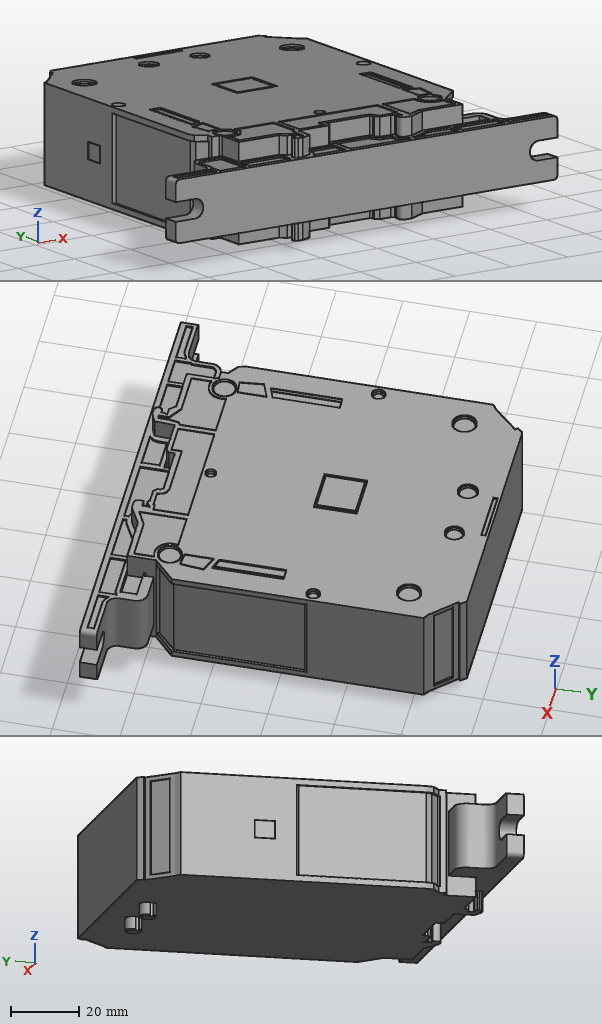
import cadquery as cq


body_height = 30.9
body_half_width = 46.51
body_depth = 109.0
foot_length = 135.4
foot_height = 19.2
foot_middle_x = 0.2
peg_length = 4.0
mark_depth = 0.3
recess_depth = 0.5
overlap = 1.4

foot_bottom = (body_height - foot_height) / 2
foot_top = foot_bottom + foot_height
foot_left = foot_middle_x - foot_length / 2
foot_right = foot_middle_x + foot_length / 2


def prism(points, bottom, top):
    """Straight-sided solid over a closed polygon in XY."""
    return cq.Workplane("XY", origin=(0, 0, bottom)).polyline(points).close().extrude(top - bottom)


def sunk(points, depth, surface):
    """Cutter sinking a polygon below an upward-facing surface."""
    return prism(points, surface - depth, surface + overlap)


def block(x_range, y_range, z_range):
    """Box given by its limits along each axis."""
    (x0, x1), (y0, y1), (z0, z1) = x_range, y_range, z_range
    return prism([(x0, y0), (x1, y0), (x1, y1), (x0, y1)], z0, z1)


def disc(x, y, radius, bottom, top):
    """Upright cylinder."""
    return cq.Workplane("XY", origin=(x, y, bottom)).circle(radius).extrude(top - bottom)


def mirrored(points):
    """The same outline on the other side of the housing."""
    return [(-x, y) for x, y in points]


leg_wall_x = 39.7
leg_base_y = 7.9
arch_y = 9.2
saddle_y = 11.9
left_hook_y = 1.8
right_hook_y = 4.7


def make_housing():
    upper_left = [
        (-body_half_width, 98.2),
        (-44.7, 99.4),
        (-37.6, 106.7),
        (-38.3, 107.2),
        (-36.8, body_depth),
    ]
    upper_right = mirrored(upper_left)[::-1]
    return (
        cq.Workplane("XY")
        .polyline(upper_left + upper_right)
        .lineTo(body_half_width, 22.7)
        .lineTo(leg_wall_x, 16.5)
        .lineTo(leg_wall_x, leg_base_y)
        .lineTo(25.3, leg_base_y)
        .lineTo(19.5, right_hook_y)
        .lineTo(17.5, right_hook_y)
        .threePointArc((16.2, 5.1), (15.8, 6.1))
        .lineTo(15.8, 7.5)
        .lineTo(17.9, 7.5)
        .lineTo(17.9, 9.7)
        .lineTo(16.1, arch_y - 0.7)
        .lineTo(15.2, arch_y)
        .lineTo(11.2, arch_y)
        .lineTo(10.0, 10.3)
        .lineTo(10.0, 11.1)
        .lineTo(9.5, saddle_y)
        .lineTo(-6.0, saddle_y)
        .lineTo(-6.0, 10.0)
        .lineTo(-6.9, arch_y)
        .lineTo(-17.6, arch_y)
        .lineTo(-17.9, 3.1)
        .lineTo(-19.6, 2.3)
        .lineTo(-21.3, left_hook_y)
        .lineTo(-22.9, left_hook_y)
        .lineTo(-23.7, 2.3)
        .lineTo(-24.1, 3.0)
        .lineTo(-23.8, 3.7)
        .lineTo(-23.3, 4.2)
        .lineTo(-22.1, 4.2)
        .lineTo(-21.7, 6.1)
        .lineTo(-23.8, 6.1)
        .lineTo(-25.5, leg_base_y)
        .lineTo(-leg_wall_x, leg_base_y)
        .lineTo(-leg_wall_x, 16.5)
        .lineTo(-40.1, 17.5)
        .lineTo(-42.7, 17.5)
        .lineTo(-42.7, 19.6)
        .lineTo(-45.9, 22.0)
        .lineTo(-body_half_width, 24.1)
        .close()
        .extrude(body_height)
    )


panel_edge = 1.9
panel_end_y = 63.2
panel_depth = 0.8
panel_x = body_half_width - panel_depth
chamfer_panel_edge = 1.4


def cut_edge_panels(housing):
    outside = body_half_width + overlap
    ramp = [(outside, panel_end_y), (body_half_width, panel_end_y), (panel_x, panel_end_y - panel_depth)]
    right_panel = ramp + [(panel_x, 23.2), (39.8, 17.6), (39.8, 16.2), (outside, 16.2)]
    left_panel = mirrored(ramp) + [
        (-panel_x, 24.1), (-45.0, 22.3), (-42.0, 19.8), (-42.0, 19.2), (-outside, 19.2),
    ]
    for panel in (left_panel, right_panel):
        housing = housing.cut(prism(panel, panel_edge, body_height - panel_edge))

    corner_panel = [(-43.5, 100.6), (-43.0, 100.2), (-38.3, 105.0), (-38.7, 105.3), (-42.0, 105.6)]
    for panel in (corner_panel, mirrored(corner_panel)):
        housing = housing.cut(prism(panel, chamfer_panel_edge, body_height - chamfer_panel_edge))

    side_window = block(
        (-body_half_width - overlap, -body_half_width + mark_depth),
        (69.7, 75.8),
        (12.5, 17.7),
    )
    return housing.cut(side_window)


seat_radius = 3.59
seat_collar_radius = 4.6
lower_seats = [(-36.3, 19.9), (36.3, 19.9)]
upper_seats = [(-36.8, 91.7), (36.8, 91.7)]
peg_y = 99.0
left_peg_x = -9.0
right_peg_x = 9.2


def cut_lower_pockets(housing):
    top_y = 21.4
    wall_x = 38.2
    floor_y = 9.6
    left_pocket = [
        (-wall_x, top_y), (-wall_x, floor_y), (-24.8, floor_y), (-20.6, 6.9), (-20.6, 3.8),
        (-19.6, 3.8), (-19.6, 7.2), (-19.1, 10.0), (-18.1, 10.7), (-18.1, top_y),
    ]
    middle_pocket = [
        (-16.4, top_y), (-16.4, 10.5), (-7.3, 10.5), (-7.3, 13.7), (9.2, 13.7), (10.4, 13.3),
        (11.4, 12.5), (11.9, 10.5), (16.7, 10.5), (16.7, 11.0), (18.7, 11.0), (18.7, top_y),
    ]
    right_pocket = [
        (20.6, top_y), (20.6, 7.2), (25.3, floor_y), (wall_x, floor_y), (wall_x, top_y),
    ]
    for outline in (left_pocket, middle_pocket, right_pocket):
        pocket = sunk(outline, mark_depth, body_height)
        for x, y in lower_seats:
            pocket = pocket.cut(disc(x, y, seat_collar_radius, 0, body_height + overlap))
        housing = housing.cut(pocket)
    return housing


def cut_round_seats(housing):
    deep_seat_depth = 1.1
    hole_depth = 1.4
    floor_chamfer = 0.4
    recesses = [(x, y, seat_radius, recess_depth) for x, y in lower_seats]
    recesses += [(x, y, seat_radius, deep_seat_depth) for x, y in upper_seats]
    recesses += [
        (left_peg_x, peg_y, 3.0, deep_seat_depth),
        (right_peg_x, peg_y, 2.8, deep_seat_depth),
        (-43.5, 64.5, 2.0, hole_depth),
        (43.5, 64.5, 2.0, hole_depth),
        (0, 24.0, 1.6, hole_depth),
    ]
    for x, y, radius, depth in recesses:
        recess = disc(x, y, radius, body_height - depth, body_height)
        housing = housing.cut(recess.faces("<Z").chamfer(floor_chamfer))
    return housing


def cut_top_marks(housing):
    slot = [(-39.1, 54.5), (-39.1, 33.2), (-35.3, 34.5), (-35.3, 54.5)]
    slot_floor = [(-38.2, 54.5), (-38.2, 33.6), (-35.3, 34.5), (-35.3, 54.5)]
    tapered_seat = [(-40.3, 30.9), (-35.3, 32.8), (-35.3, 24.1), (-39.5, 23.7)]
    marks = [(slot, mark_depth), (slot_floor, recess_depth), (tapered_seat, mark_depth)]
    for outline, depth in marks:
        for side in (outline, mirrored(outline)):
            housing = housing.cut(sunk(side, depth, body_height))

    top_range = (body_height - mark_depth, body_height + overlap)
    frame = block((-6.9, 7.3), (56.5, 69.3), top_range)
    label = block((-6.4, 6.4), (57.0, 68.8), top_range)
    housing = housing.cut(frame.cut(label))

    slot_range = (body_height - recess_depth, body_height + overlap)
    return housing.cut(block((-8.0, 8.3), (106.8, 108.0), slot_range))


peg_radius = 2.5


def make_peg(x):
    """Chamfered peg with a narrow groove along its -X side."""
    tip_chamfer = 0.4
    groove_depth = 0.5
    peg = disc(x, peg_y, peg_radius, -peg_length, overlap).faces("<Z").chamfer(tip_chamfer)
    groove = block(
        (x - peg_radius - overlap, x - peg_radius + groove_depth),
        (peg_y - 1.2, peg_y - 0.1),
        (-peg_length, 0),
    )
    return peg.cut(groove)


flange_y = 5.1
ledge_y = 7.9
post_y = 16.1
post_half_width = 51.65
shoulder_radius = 3.4
root_radius = 3.0
post_inner_x = 40.1
arch_gap = 0.4


def make_foot():
    post_left = foot_middle_x - post_half_width
    post_right = foot_middle_x + post_half_width
    middle_y = arch_y - arch_gap
    return (
        cq.Workplane("XY", origin=(0, 0, foot_bottom))
        .moveTo(foot_left, 0)
        .lineTo(foot_left, flange_y)
        .lineTo(post_left - root_radius, flange_y)
        .radiusArc((post_left, flange_y + root_radius), -root_radius)
        .lineTo(post_left, post_y - shoulder_radius)
        .radiusArc((post_left + shoulder_radius, post_y), shoulder_radius)
        .lineTo(-post_inner_x, post_y)
        .lineTo(-post_inner_x, ledge_y)
        .lineTo(-18.3, ledge_y)
        .lineTo(-16.9, middle_y)
        .lineTo(-5.4, middle_y)
        .lineTo(-5.4, saddle_y)
        .lineTo(9.5, saddle_y)
        .lineTo(10.0, 11.1)
        .lineTo(10.0, 9.7)
        .lineTo(11.1, middle_y)
        .lineTo(16.2, middle_y)
        .lineTo(17.9, ledge_y)
        .lineTo(leg_wall_x, ledge_y)
        .lineTo(leg_wall_x, 13.4)
        .lineTo(40.9, 13.4)
        .lineTo(40.9, post_y)
        .lineTo(post_right - shoulder_radius, post_y)
        .radiusArc((post_right, post_y - shoulder_radius), shoulder_radius)
        .lineTo(post_right, flange_y + root_radius)
        .radiusArc((post_right + root_radius, flange_y), -root_radius)
        .lineTo(foot_right, flange_y)
        .lineTo(foot_right, 0)
        .close()
        .extrude(foot_height)
    )


def finish_foot_ends(foot):
    corner_radius = 1.4
    notch_width = 6.0
    notch_length = 9.7
    foot = foot.edges("|Y").edges("<X or >X").fillet(corner_radius)
    middle_z = foot_bottom + foot_height / 2
    for end_x in (foot_left, foot_right):
        notch = (
            cq.Workplane("XZ", origin=(end_x, 0, middle_z))
            .slot2D(2 * notch_length, notch_width)
            .extrude(-flange_y - overlap)
        )
        foot = foot.cut(notch)
    return foot


def cut_foot_pockets(foot):
    floor_y = 1.9
    shelf_y = 6.5
    lip_y = 3.8
    pockets = [
        [(-65.5, floor_y), (-65.5, lip_y), (-54.4, lip_y), (-52.7, 4.7), (-51.9, 4.7), (-51.9, floor_y)],
        [(-50.5, floor_y), (-50.5, shelf_y), (-50.1, 7.0), (-50.1, 13.4), (-48.9, 14.6), (-41.3, 14.6),
         (-41.3, floor_y)],
        [(-40.1, floor_y), (-40.1, shelf_y), (-25.7, shelf_y), (-25.3, 4.7), (-25.6, floor_y)],
        [(-17.3, floor_y), (-16.2, 3.1), (-15.8, 4.7), (-15.8, 7.3), (-6.0, 7.3), (-6.0, floor_y)],
        [(-4.2, floor_y), (-4.2, 10.5), (8.5, 10.5), (8.5, 9.5), (10.4, 7.3), (14.4, 7.3), (14.0, 6.2),
         (15.0, 4.3), (17.2, 3.2), (17.2, floor_y)],
        [(18.7, floor_y), (18.7, 3.0), (20.0, 3.2), (26.3, shelf_y), (34.1, shelf_y), (34.1, floor_y)],
        [(35.5, floor_y), (35.5, shelf_y), (49.7, shelf_y), (50.0, 7.0), (50.5, 7.0), (50.5, floor_y)],
        [(51.9, floor_y), (51.9, 5.1), (53.1, 4.3), (54.4, lip_y), (66.0, lip_y), (66.0, floor_y)],
    ]
    for outline in pockets:
        foot = foot.cut(sunk(outline, recess_depth, foot_top))

    post_recess_depth = 2.0
    post_recess = block(
        (leg_wall_x - overlap, 49.0),
        (ledge_y, 12.9),
        (foot_top - post_recess_depth, foot_top),
    )
    return foot.cut(post_recess)


housing = make_housing()
housing = cut_edge_panels(housing)
housing = cut_lower_pockets(housing)
housing = cut_round_seats(housing)
housing = cut_top_marks(housing)

foot = make_foot()
foot = finish_foot_ends(foot)
foot = cut_foot_pockets(foot)

result = housing.union(foot)
for peg_x in (left_peg_x, right_peg_x):
    result = result.union(make_peg(peg_x))